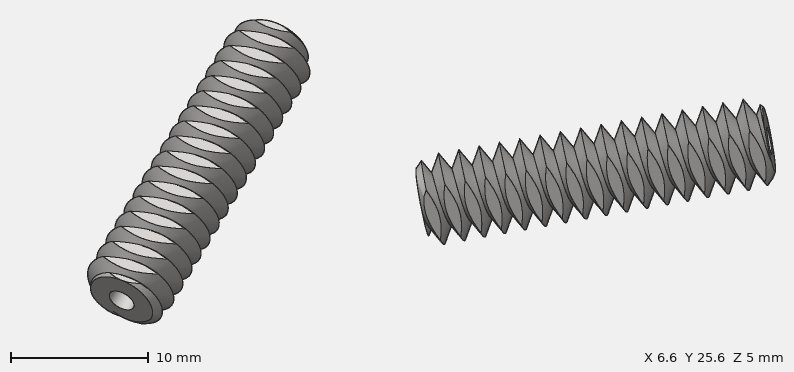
import cadquery as cq
import math

length = 25.62
major_diameter = 6.6
pitch = 1.5
thread_angle = 60.0
flat_height = 5.0
bore_diameter = 2.0
lead_in_turns = 1.25
trim_margin = 0.5
end_chamfer = 0.8

major_radius = major_diameter / 2
thread_depth = pitch / 2 / math.tan(math.radians(thread_angle / 2))
root_radius = major_radius - thread_depth
inner_radius = bore_diameter / 4

thread_start = -lead_in_turns * pitch
turns = math.ceil((length - thread_start) / pitch)


def helix(radius, height):
    """One right-hand turn that starts on +X at the given height."""
    return cq.Wire.makeHelix(pitch, pitch, radius, cq.Vector(0, 0, height)).Edges()[0]


def end_section(height):
    """Flat face on the +X half plane: one pitch of the thread profile down to the hollow."""
    profile = [
        (inner_radius, 0, height),
        (root_radius, 0, height),
        (major_radius, 0, height + pitch / 2),
        (root_radius, 0, height + pitch),
        (inner_radius, 0, height + pitch),
    ]
    outline = cq.Wire.makePolygon([cq.Vector(*point) for point in profile], close=True)
    return cq.Face.makeFromWires(outline)


def make_raw_thread():
    """Right-hand sharp V thread, closed from ruled helical faces turn by turn."""
    thread_end = thread_start + turns * pitch
    faces = [end_section(thread_start), end_section(thread_end)]

    for height in (thread_start, thread_end):
        faces.append(cq.Face.makeRuledSurface(helix(inner_radius, height), helix(root_radius, height)))

    for turn in range(turns):
        height = thread_start + turn * pitch
        lower_root = helix(root_radius, height)
        crest = helix(major_radius, height + pitch / 2)
        upper_root = helix(root_radius, height + pitch)
        faces.append(cq.Face.makeRuledSurface(lower_root, crest))
        faces.append(cq.Face.makeRuledSurface(crest, upper_root))
        faces.append(
            cq.Face.makeRuledSurface(helix(inner_radius, height), helix(inner_radius, height + pitch))
        )
    return cq.Workplane(cq.Solid.makeSolid(cq.Shell.makeShell(faces)))


def make_envelope():
    """Cylinder wider than the crests, with end cones that trim the thread, cut by two flats."""
    cylinder = (
        cq.Workplane("XY")
        .circle(major_radius + trim_margin)
        .extrude(length)
        .faces("<Z or >Z")
        .chamfer(end_chamfer + trim_margin)
    )
    flats = cq.Workplane("XY").box(
        2 * major_diameter, flat_height, length, centered=(True, True, False)
    )
    return cylinder.intersect(flats)


def make_bore():
    """Through hole along the axis."""
    return cq.Workplane("XY").circle(bore_diameter / 2).extrude(length)


screw = make_raw_thread().intersect(make_envelope().cut(make_bore()))

result = screw.rotate((0, 0, 0), (1, 0, 0), -90)